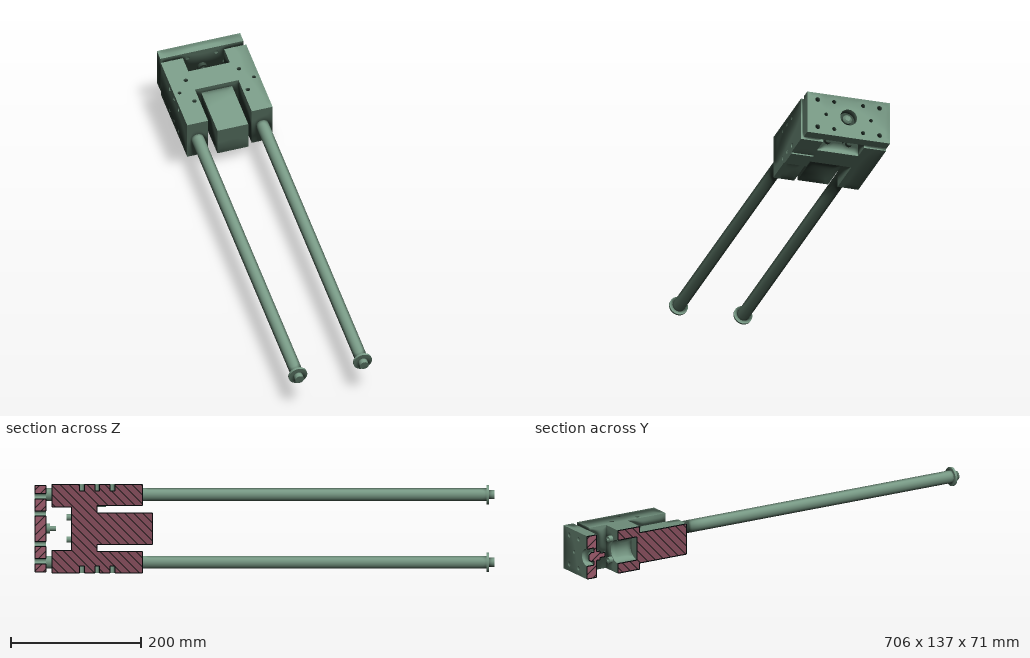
import cadquery as cq
total_length = 706.0
height = 69.0

plate_thickness = 18.0
plate_width = 133.5
recess_diameter = 27.0
recess_depth = 13.0
hole_pitch = 46.5
outer_plate_hole_pitch = 99.5
outer_plate_hole_diameter = 8.0
inner_plate_hole_diameter = 6.65
plate_dowel_pitch = 72.0
plate_dowel_diameter = 6.0

collar_diameter = 15.0
collar_end = 24.0
screw_diameter = 8.0
screw_end = 33.0
screw_head_start = 3.5
screw_head_chamfer = 3.5

rod_diameter = 20.0
rod_pitch = 104.0
stop_diameter = 30.0
stop_thickness = 3.5
bolt_head_diameter = 14.0
bolt_head_length = 8.5

housing_start = 26.0
housing_length = 140.0
housing_width = 137.0
front_slot_depth = 30.0
front_slot_width = 66.5
rear_slot_width = 70.0
web_thickness = 40.0
rod_bore_diameter = rod_diameter
mount_hole_diameter = 7.0
dowel_hole_diameter = 6.0
mount_hole_depth = 10.5
top_hole_pitch = 85.5
top_dowel_pitch = 119.0

cylinder_size = 49.5
cylinder_end = 181.5
rod_hole_diameter = 37.0
rod_hole_depth = 35.0
port_diameter = 4.0
port_x = 171.0
port_z = -20.5
port_depth = 7.0

cap_screw_pitch = 34.0
cap_screw_diameter = 10.0
cap_screw_height = 6.5
cap_socket_diameter = 5.0
cap_socket_depth = 3.0

nameplate_length = 34.5
nameplate_width = 35.0
nameplate_thickness = 2.0
nameplate_start = 75.0

housing_middle = housing_start + housing_length / 2
web_start = housing_start + front_slot_depth
web_end = web_start + web_thickness
housing_end = housing_start + housing_length
rod_places = [(-rod_pitch / 2, 0), (rod_pitch / 2, 0)]


def box(x_start, x_end, width, tall):
    """Box centred on the X axis between two X positions."""
    return cq.Workplane("YZ", origin=(x_start, 0, 0)).rect(width, tall).extrude(x_end - x_start)


def rods_along_x(places, diameter, x_start, x_end):
    """Cylinders along X at the given (Y, Z) places."""
    plane = cq.Workplane("YZ", origin=(x_start, 0, 0))
    return plane.pushPoints(places).circle(diameter / 2).extrude(x_end - x_start)


def grid(first_pitch, second_pitch):
    """Four corner points of a rectangle about the origin."""
    return [(a * first_pitch / 2, b * second_pitch / 2) for a in (-1, 1) for b in (-1, 1)]


def make_slide():
    """Front plate with its coupling screw, two guide rods and their end stops."""
    slide = box(0, plate_thickness, plate_width, height)

    outer_holes = grid(outer_plate_hole_pitch, hole_pitch)
    inner_holes = grid(hole_pitch, hole_pitch)
    dowels = [(-plate_dowel_pitch / 2, 0), (plate_dowel_pitch / 2, 0)]
    slide = slide.cut(rods_along_x(outer_holes, outer_plate_hole_diameter, 0, plate_thickness))
    slide = slide.cut(rods_along_x(inner_holes, inner_plate_hole_diameter, 0, plate_thickness))
    slide = slide.cut(rods_along_x(dowels, plate_dowel_diameter, 0, plate_thickness))
    slide = slide.cut(rods_along_x([(0, 0)], recess_diameter, 0, recess_depth))

    collar = rods_along_x([(0, 0)], collar_diameter, screw_head_start, collar_end)
    slide = slide.union(collar.faces("<X").chamfer(screw_head_chamfer))
    slide = slide.union(rods_along_x([(0, 0)], screw_diameter, collar_end, screw_end))

    stop_end = total_length - bolt_head_length
    stop_start = stop_end - stop_thickness
    slide = slide.union(rods_along_x(rod_places, rod_diameter, plate_thickness, stop_start))
    slide = slide.union(rods_along_x(rod_places, stop_diameter, stop_start, stop_end))
    slide = slide.union(rods_along_x(rod_places, bolt_head_diameter, stop_end, total_length))
    return slide


def drill(body, plane, places, diameter, distance):
    """Cut round holes into a body; distance is signed along the plane's normal."""
    holes = cq.Workplane(plane).pushPoints(places).circle(diameter / 2).extrude(distance)
    return body.cut(holes)


def cut_top_holes(body):
    """Mounting and dowel holes in the top face."""
    top = cq.Plane.named("XY", (housing_middle, 0, height / 2))
    mounts = grid(hole_pitch, top_hole_pitch)
    dowels = [(0, -top_dowel_pitch / 2), (0, top_dowel_pitch / 2)]
    body = drill(body, top, mounts, mount_hole_diameter, -mount_hole_depth)
    return drill(body, top, dowels, dowel_hole_diameter, -mount_hole_depth)


def cut_side_holes(body):
    """Mounting and dowel holes in both side faces."""
    mounts = grid(hole_pitch, hole_pitch)
    dowels = [(0, -hole_pitch / 2), (0, hole_pitch / 2)]
    for side in (-1, 1):
        face = cq.Plane.named("XZ", (housing_middle, side * housing_width / 2, 0))
        inward = side * mount_hole_depth
        body = drill(body, face, mounts, mount_hole_diameter, inward)
        body = drill(body, face, dowels, dowel_hole_diameter, inward)
    return body


def make_housing():
    """H-shaped housing with the cylinder, its screws and the nameplate."""
    housing = box(housing_start, housing_end, housing_width, height)
    front_slot = box(housing_start, web_start, front_slot_width, height)
    rear_slot = box(web_end, housing_end, rear_slot_width, height)
    housing = housing.cut(front_slot)
    housing = housing.cut(rear_slot)
    housing = housing.union(box(web_end, cylinder_end, cylinder_size, cylinder_size))

    housing = housing.cut(rods_along_x(rod_places, rod_bore_diameter, housing_start, housing_end))
    housing = housing.cut(rods_along_x([(0, 0)], rod_hole_diameter, web_start, web_start + rod_hole_depth))
    housing = cut_side_holes(cut_top_holes(housing))

    cylinder_side = cq.Plane.named("XZ", (0, -cylinder_size / 2, 0))
    housing = drill(housing, cylinder_side, [(port_x, port_z)], port_diameter, -port_depth)

    screws = grid(cap_screw_pitch, cap_screw_pitch)
    head_start = web_start - cap_screw_height
    heads = rods_along_x(screws, cap_screw_diameter, head_start, web_start)
    sockets = rods_along_x(screws, cap_socket_diameter, head_start, head_start + cap_socket_depth)
    housing = housing.union(heads).cut(sockets)

    nameplate = cq.Workplane("XY").box(
        nameplate_length, nameplate_width, nameplate_thickness, centered=False
    )
    nameplate_corner = (
        nameplate_start,
        housing_width / 2 - nameplate_width,
        -height / 2 - nameplate_thickness,
    )
    return housing.union(nameplate.translate(nameplate_corner))


slide = make_slide()
housing = make_housing()
result = cq.Compound.makeCompound([slide.val(), housing.val()])